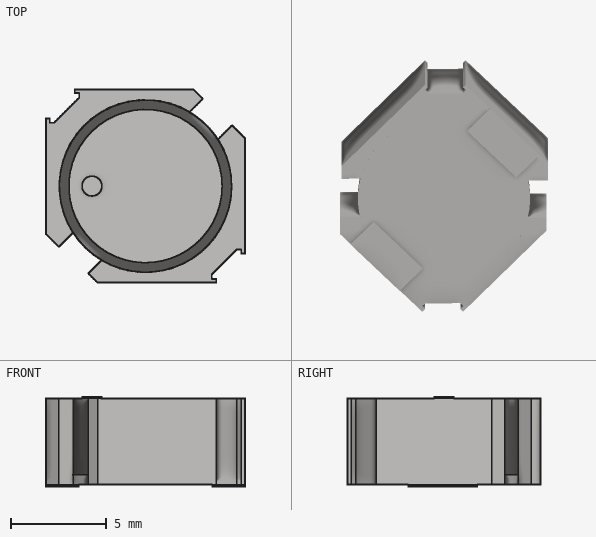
import cadquery as cq
import math

length = 10.4
width = 10.1
body_height = 4.5

post_radius = 4.0
flange_radius = 4.5
flange_height = 0.52
dot_radius = 0.52
dot_height = 0.099
dot_center_x = -2.8

side_wall_front_y = -2.51
side_wall_back_y = 3.54
back_wall_left_x = -3.7
back_wall_right_x = 2.51
side_wall_chamfer = 0.68
back_wall_chamfer = 0.49
lip_thickness = 0.2
lip_notch = 0.23
lip_notch_depth = 0.22

terminal_length = 1.72
terminal_front_y = -1.87
terminal_back_y = 1.75
terminal_thickness = 0.099

left_x = -length / 2
back_y = width / 2


def make_core():
    """Post and flange in one piece, with the raised polarity dot on top."""
    flange = cq.Workplane("XY").circle(flange_radius).extrude(flange_height)
    post = cq.Workplane("XY").circle(post_radius).extrude(body_height)
    dot = (
        cq.Workplane("XY", origin=(dot_center_x, 0, body_height))
        .circle(dot_radius)
        .extrude(dot_height)
    )
    return flange.union(post).union(dot)


def slot_point_on_bore(corner_x, corner_y):
    """Where the 45 degree slot wall through a shell corner meets the bore."""
    offset = (corner_x - corner_y) / math.sqrt(2)
    along = math.copysign(math.sqrt(flange_radius**2 - offset**2), corner_x + corner_y)
    return (along + offset) / math.sqrt(2), (along - offset) / math.sqrt(2)


def make_shell(turn):
    """L-shaped shell bored to fit the flange, turned about Z by the given angle."""
    side_tip = (left_x + side_wall_chamfer, side_wall_front_y - side_wall_chamfer)
    back_tip = (back_wall_right_x + back_wall_chamfer, back_y - back_wall_chamfer)
    bore_middle = (-flange_radius / math.sqrt(2), flange_radius / math.sqrt(2))

    side_notch_y = side_wall_back_y - lip_notch_depth
    side_notch_x = left_x + lip_thickness + lip_notch
    back_notch_x = back_wall_left_x + lip_notch
    back_notch_y = side_notch_y + (back_notch_x - side_notch_x)

    outline = (
        cq.Workplane("XY")
        .moveTo(left_x, side_wall_front_y)
        .lineTo(left_x, side_wall_back_y)
        .lineTo(left_x + lip_thickness, side_wall_back_y)
        .lineTo(left_x + lip_thickness, side_notch_y)
        .lineTo(side_notch_x, side_notch_y)
        .lineTo(back_notch_x, back_notch_y)
        .lineTo(back_notch_x, back_y - lip_thickness)
        .lineTo(back_wall_left_x, back_y - lip_thickness)
        .lineTo(back_wall_left_x, back_y)
        .lineTo(back_wall_right_x, back_y)
        .lineTo(*back_tip)
        .lineTo(*slot_point_on_bore(*back_tip))
        .threePointArc(bore_middle, slot_point_on_bore(*side_tip))
        .lineTo(*side_tip)
        .close()
    )
    return outline.extrude(body_height).rotate((0, 0, 0), (0, 0, 1), turn)


def make_terminal(side):
    """Flat plate under a shell, flush with the outer face on the given X side."""
    return (
        cq.Workplane("XY")
        .box(terminal_length, terminal_back_y - terminal_front_y, terminal_thickness)
        .translate(
            (
                side * (length - terminal_length) / 2,
                (terminal_front_y + terminal_back_y) / 2,
                -terminal_thickness / 2,
            )
        )
    )


core = make_core()
shells = [make_shell(turn) for turn in (0, 180)]
terminals = [make_terminal(side) for side in (-1, 1)]

result = cq.Compound.makeCompound(
    [core.val()] + [shell.val() for shell in shells] + [terminal.val() for terminal in terminals]
)